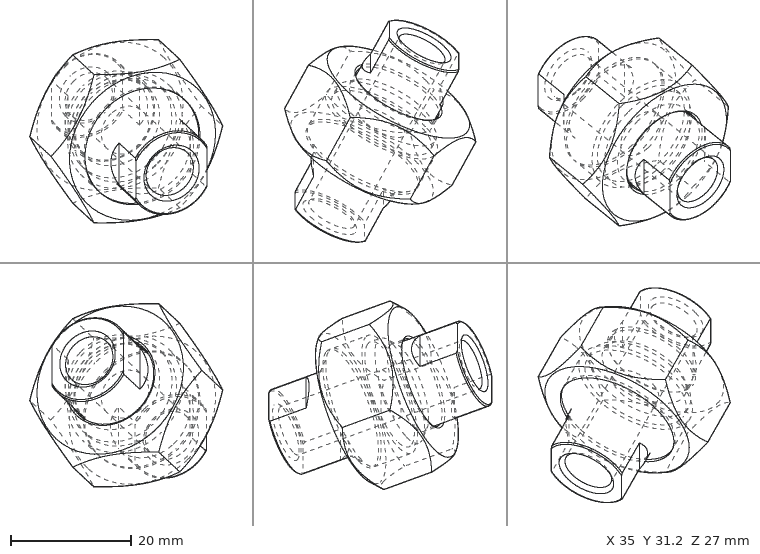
import cadquery as cq
import math

LENGTH = 35.0
BORE_R = 8.58 / 2
BORE_MOUTH_R = 10.05 / 2
PIPE_R = 15.0 / 2
END_CHAMFER = 0.25
NECK_FILLET = 0.5

FLAT_WIDTH = 12.95
FLAT_LENGTH = 6.95

NUT_START = 9.52
NUT_END = 23.0
NUT_ACROSS_CORNERS = 31.2
NUT_FACE_R = 26.53 / 2
NUT_MOUTH_R = 16.2 / 2
NUT_NECK_R = 15.5 / 2

FLANGE_R = 18.62 / 2
THREAD_R = 20.9 / 2
SEAT_CONE_START = 11.9
JOINT_X = 15.75
BODY_CONE_END = 25.62

SEAT_ANGLE = 45.0
BODY_INNER_ANGLE = 41.0
BODY_OUTER_ANGLE = 48.0
BODY_KNEE_X = 23.95

FULL_TURN = 360


def tan_deg(angle):
    return math.tan(math.radians(angle))


def fillet_point(fillet_x, angle):
    """Point of the neck fillet, tangent to the pipe at fillet_x, after turning by angle."""
    turn = math.radians(angle)
    return (
        fillet_x + NECK_FILLET * math.sin(turn),
        PIPE_R + NECK_FILLET * (1 - math.cos(turn)),
    )


def revolve_about_x(profile):
    return profile.close().revolve(FULL_TURN, (0, 0, 0), (1, 0, 0))


def make_fitting(fillet_x, cone_angle, cone_points, joint_x):
    """Pipe end at X = 0 that widens through the cone points to a rim ending at joint_x."""
    mouth_depth = BORE_MOUTH_R - BORE_R
    profile = (
        cq.Workplane("XY")
        .moveTo(0, BORE_MOUTH_R)
        .lineTo(0, PIPE_R - END_CHAMFER)
        .lineTo(END_CHAMFER, PIPE_R)
        .lineTo(fillet_x, PIPE_R)
        .threePointArc(
            fillet_point(fillet_x, cone_angle / 2),
            fillet_point(fillet_x, cone_angle),
        )
    )
    for x, radius in cone_points:
        profile = profile.lineTo(x, radius)
    rim_r = cone_points[-1][1]
    profile = (
        profile.lineTo(joint_x, rim_r)
        .lineTo(joint_x, BORE_R)
        .lineTo(mouth_depth, BORE_R)
    )
    fitting = revolve_about_x(profile)
    for side in (1, -1):
        fitting = fitting.cut(make_flat_cutter(side))
    return fitting


def make_flat_cutter(side):
    """Material outside one wrench flat, with a 45 degree run-out."""
    flat_y = FLAT_WIDTH / 2
    depth = PIPE_R - flat_y
    return (
        cq.Workplane("XY")
        .polyline([
            (0, side * flat_y),
            (FLAT_LENGTH, side * flat_y),
            (FLAT_LENGTH + depth, side * PIPE_R),
            (0, side * PIPE_R),
        ])
        .close()
        .extrude(PIPE_R, both=True)
    )


def seat_x(radius):
    """X of the seat cone, shared by the nut and the tailpiece, at a given radius."""
    foot_x, foot_r = fillet_point(SEAT_CONE_START, SEAT_ANGLE)
    return foot_x + (radius - foot_r) / tan_deg(SEAT_ANGLE)


def make_nut():
    """Hex nut with 45 degree corner chamfers, a conical seat and a thread bore."""
    corner_r = NUT_ACROSS_CORNERS / 2
    chamfer = corner_r - NUT_FACE_R
    mouth_depth = NUT_MOUTH_R - NUT_NECK_R
    hexagon = (
        cq.Workplane("YZ", origin=(NUT_START, 0, 0))
        .polygon(6, NUT_ACROSS_CORNERS)
        .extrude(NUT_END - NUT_START)
    )
    envelope = revolve_about_x(
        cq.Workplane("XY")
        .moveTo(NUT_START, NUT_MOUTH_R)
        .lineTo(NUT_START, NUT_FACE_R)
        .lineTo(NUT_START + chamfer, corner_r)
        .lineTo(NUT_END - chamfer, corner_r)
        .lineTo(NUT_END, NUT_FACE_R)
        .lineTo(NUT_END, THREAD_R)
        .lineTo(JOINT_X, THREAD_R)
        .lineTo(JOINT_X, FLANGE_R)
        .lineTo(seat_x(FLANGE_R), FLANGE_R)
        .lineTo(seat_x(NUT_NECK_R), NUT_NECK_R)
        .lineTo(NUT_START + mouth_depth, NUT_NECK_R)
    )
    return hexagon.intersect(envelope)


def make_tailpiece():
    flange_point = (seat_x(FLANGE_R), FLANGE_R)
    return make_fitting(SEAT_CONE_START, SEAT_ANGLE, [flange_point], JOINT_X)


def make_body():
    """Threaded body with a two-angle cone, built from its pipe end and mirrored to +X."""
    fillet_x = LENGTH - BODY_CONE_END
    foot_x, foot_r = fillet_point(fillet_x, BODY_INNER_ANGLE)
    knee_x = LENGTH - BODY_KNEE_X
    knee_r = foot_r + (knee_x - foot_x) * tan_deg(BODY_INNER_ANGLE)
    thread_x = knee_x + (THREAD_R - knee_r) / tan_deg(BODY_OUTER_ANGLE)
    cone_points = [(knee_x, knee_r), (thread_x, THREAD_R)]
    return (
        make_fitting(fillet_x, BODY_INNER_ANGLE, cone_points, LENGTH - JOINT_X)
        .mirror("YZ")
        .translate((LENGTH, 0, 0))
    )


tailpiece = make_tailpiece()
nut = make_nut()
body = make_body()

result = cq.Compound.makeCompound([tailpiece.val(), nut.val(), body.val()])